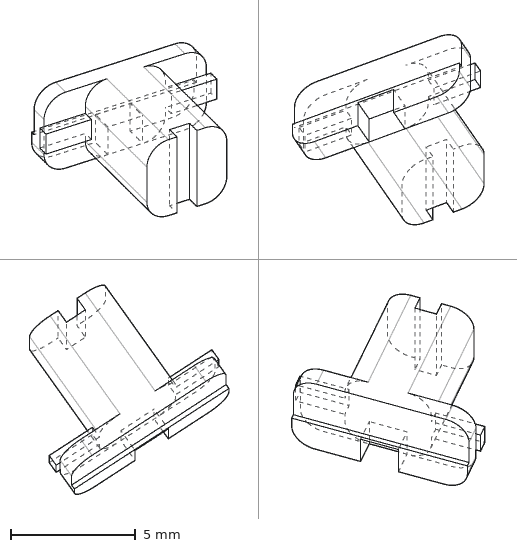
import cadquery as cq

total_length = 6.0
height = 3.7
plate_width = 7.505
body_width = 3.7
corner_radius = 0.995
plate_thickness = 1.01
lip_depth = 0.2
lip_height = 1.485
bar_width = 7.9
bar_thickness = 0.5
bar_height = 0.97
bar_bottom = 1.38
end_slot_depth = 0.59
end_slot_width = 0.92
notch_width = 1.61
notch_height = 1.34
notch_depth = plate_thickness


def box(x_start, z_start, length, width, tall):
    """Box centred on Y, growing along +X and +Z from its start position."""
    solid = cq.Workplane("XY").box(length, width, tall, centered=(False, True, False))
    return solid.translate((x_start, 0, z_start))


def rounded_block(x_start, length, width):
    """Full-height block with its four X-direction edges rounded."""
    return box(x_start, 0, length, width, height).edges("|X").fillet(corner_radius)


plate = rounded_block(0, plate_thickness, plate_width)
plate = plate.cut(box(0, lip_height, lip_depth, plate_width, height - lip_height))

body = rounded_block(plate_thickness, total_length - plate_thickness, body_width)
crossbar = box(plate_thickness, bar_bottom, bar_thickness, bar_width, bar_height)

notch = box(0, 0, notch_depth, notch_width, notch_height)
end_slot = box(total_length - end_slot_depth, 0, end_slot_depth, end_slot_width, height)

result = plate.union(body).union(crossbar).cut(notch).cut(end_slot)